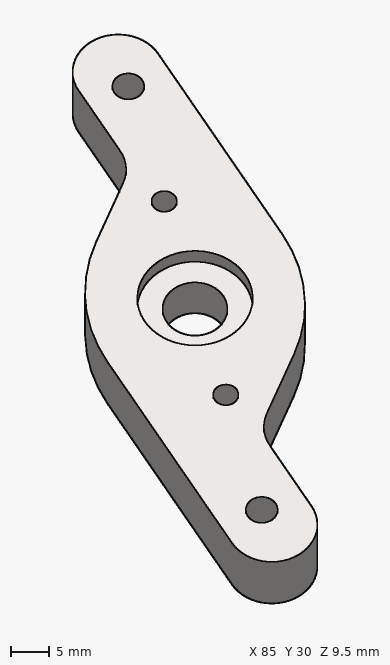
import cadquery as cq
import math

length = 85.0
width = 30.0
thickness = 9.5

arm_width = 12.0
arm_end_radius = arm_width / 2
flank_angle = 50.0
flank_foot_x = 7.4
hub_radius = 22.8
neck_radius = 6.0

bore_diameter = 8.5
recess_diameter = 15.1
recess_depth = 2.5
arm_hole_diameter = 4.2
arm_hole_x = 33.8
hub_hole_diameter = 3.3
hub_hole_x = 15.5
hub_hole_y = 4.1

half_length = length / 2
half_width = width / 2
arm_inner_y = half_width - arm_width
arm_center_y = half_width - arm_end_radius
flank_top_x = flank_foot_x + (arm_inner_y + half_width) / math.tan(math.radians(flank_angle))


def both_sides(x, y):
    """A point and its copy turned half a revolution about the Z axis."""
    return [(x, y), (-x, -y)]


def make_plate():
    """Z-shaped plate with sharp hub corners, then rounded along its vertical edges."""
    arm_center_x = half_length - arm_end_radius
    plate = (
        cq.Workplane("XY")
        .moveTo(-arm_center_x, half_width)
        .threePointArc((-half_length, arm_center_y), (-arm_center_x, arm_inner_y))
        .lineTo(-flank_top_x, arm_inner_y)
        .lineTo(-flank_foot_x, -half_width)
        .lineTo(arm_center_x, -half_width)
        .threePointArc((half_length, -arm_center_y), (arm_center_x, -arm_inner_y))
        .lineTo(flank_top_x, -arm_inner_y)
        .lineTo(flank_foot_x, half_width)
        .close()
        .extrude(thickness)
    )
    plate = round_corners(plate, both_sides(-flank_top_x, arm_inner_y), neck_radius)
    return round_corners(plate, both_sides(-flank_foot_x, -half_width), hub_radius)


def round_corners(body, corners, radius):
    """Fillet the vertical edge standing at each corner."""
    for x, y in corners:
        edge = cq.selectors.NearestToPointSelector((x, y, thickness / 2))
        body = body.edges("|Z").edges(edge).fillet(radius)
    return body


def drill(body, centers, diameter):
    """Cut through holes at the given centers."""
    holes = cq.Workplane("XY").pushPoints(centers).circle(diameter / 2).extrude(thickness)
    return body.cut(holes)


result = make_plate()
result = drill(result, [(0, 0)], bore_diameter)
result = drill(result, both_sides(-arm_hole_x, arm_center_y), arm_hole_diameter)
result = drill(result, both_sides(-hub_hole_x, hub_hole_y), hub_hole_diameter)

recess_floor = cq.Workplane("XY").workplane(offset=thickness - recess_depth)
result = result.cut(recess_floor.circle(recess_diameter / 2).extrude(recess_depth))